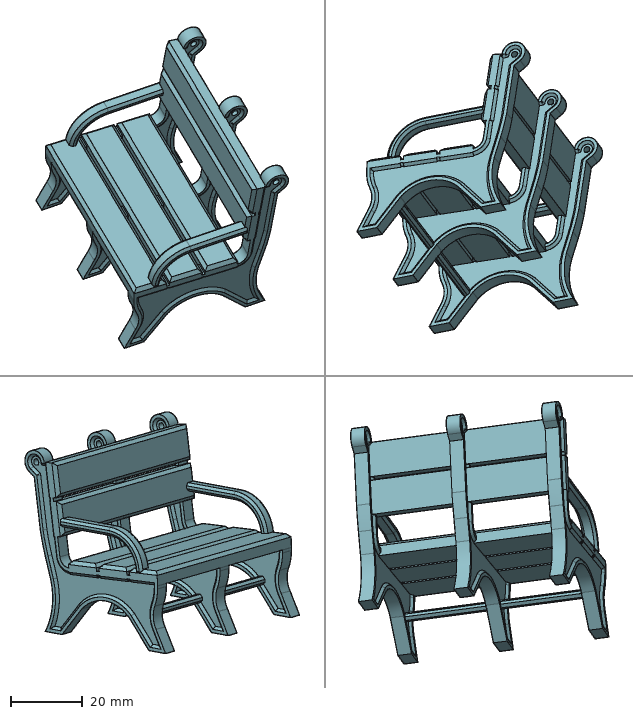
import cadquery as cq
import math

BENCH_LENGTH = 60.0

FRAME_THICKNESS = 4.0
RIM_WIDTH = 1.0
PANEL_DEPTH = 0.8
WALL_TAPER = 45.0
FRAME_SPACING = (BENCH_LENGTH - FRAME_THICKNESS) / 2

FOOT_LENGTH = 6.0
REAR_HEEL_Y = 17.9
FRONT_TOE_Y = -25.25
REAR_WAIST = (15.25, 10.2)
REAR_WAIST_END = (15.95, 15.3)
REAR_BEND_START = (17.9, 21.6)
REAR_BEND_END_Z = 28.9
FRONT_KNEE_START = (-21.35, 13.1)
FRONT_KNEE_END = (-21.85, 6.5)
FRONT_Y = -22.25
FRONT_STRAIGHT_END_Z = 18.2

ARCH_TOP_Z = 11.95
ARCH_RADIUS = 12.0
ARCH_HALF_ANGLE = 45.0

SEAT_TILT = 2.8
BACK_TILT = 8.3
SEAT_FRONT_Z = 21.05
BACK_TOP = (16.5, 48.7)
BACK_DEPTH = 6.0
CORNER_TANGENT = 2.9

SCROLL_CENTER = (21.7, 48.0)
SCROLL_RADIUS = 3.5
SCROLL_HOLE_DIAMETER = 1.8
NECK_Z = 43.85
SCROLL_START_ANGLE = 305.0
SCROLL_MIDDLE_ANGLE = 90.0
PLATE_NOTCH_ANGLE = 180.0
PLATE_TOP_SHIFT = -0.5
PANEL_NOTCH_ANGLE = 159.0
PANEL_TOP_SHIFT = 0.55

BOARD_WIDTH = 10.0
BOARD_THICKNESS = 4.0
BOARD_CHAMFER = 1.0
BOARD_END_CHAMFER = 0.8
SEAT_BOARDS = 3
BACK_BOARDS = 2
SEAT_GAP = 0.9
BACK_GAP = 1.0

BAR_HEIGHT = 2.4
BAR_CHAMFER = 0.8
ARM_TOP_Z = 33.2
ARM_REAR_Y = 13.2
ARM_BEND_Y = -4.8
ARM_BEND_RADIUS = 11.75
STRETCHER_CENTER = (-14.2, 9.0)


def along(point, direction, distance):
    return (point[0] + direction[0] * distance, point[1] + direction[1] * distance)


def on_circle(center, radius, angle):
    turn = math.radians(angle)
    return along(center, (math.cos(turn), math.sin(turn)), radius)


seat_turn = math.radians(SEAT_TILT)
back_turn = math.radians(BACK_TILT)
seat_rearward = (math.cos(seat_turn), -math.sin(seat_turn))
back_upward = (math.sin(back_turn), math.cos(back_turn))
back_rearward = (math.cos(back_turn), -math.sin(back_turn))
seat_upward = (-seat_rearward[1], seat_rearward[0])
seat_front = (FRONT_Y, SEAT_FRONT_Z)
seat_front_bottom = along(seat_front, seat_upward, -BOARD_THICKNESS / 2)


def seat_back_corner():
    """Point where the seat line and the backrest line cross."""
    gap_y = BACK_TOP[0] - seat_front[0]
    gap_z = BACK_TOP[1] - seat_front[1]
    cross = seat_rearward[0] * back_upward[1] - seat_rearward[1] * back_upward[0]
    distance = (gap_y * back_upward[1] - gap_z * back_upward[0]) / cross
    return along(seat_front, seat_rearward, distance)


def rear_line_point(z):
    """Point at height z on the rear edge, parallel to the backrest line."""
    base = along(BACK_TOP, back_rearward, BACK_DEPTH)
    return along(base, back_upward, (z - base[1]) / back_upward[1])


def frame_outline(plane, top_shift, notch_angle):
    """Side outline; its top front corner lies top_shift above the top board's edge."""
    corner = seat_back_corner()
    arch_y = (REAR_HEEL_Y + FRONT_TOE_Y) / 2
    arch_center = (arch_y, ARCH_TOP_Z - ARCH_RADIUS)
    return (
        plane.moveTo(REAR_HEEL_Y, 0)
        .threePointArc(REAR_WAIST, REAR_WAIST_END)
        .lineTo(*REAR_BEND_START)
        .tangentArcPoint(rear_line_point(REAR_BEND_END_Z), relative=False)
        .lineTo(*rear_line_point(NECK_Z))
        .lineTo(*on_circle(SCROLL_CENTER, SCROLL_RADIUS, SCROLL_START_ANGLE))
        .threePointArc(
            on_circle(SCROLL_CENTER, SCROLL_RADIUS, SCROLL_MIDDLE_ANGLE),
            on_circle(SCROLL_CENTER, SCROLL_RADIUS, notch_angle),
        )
        .lineTo(*along(BACK_TOP, back_upward, top_shift))
        .lineTo(*along(corner, back_upward, CORNER_TANGENT))
        .tangentArcPoint(along(corner, seat_rearward, -CORNER_TANGENT), relative=False)
        .lineTo(*seat_front)
        .lineTo(*seat_front_bottom)
        .lineTo(seat_front_bottom[0], FRONT_STRAIGHT_END_Z)
        .tangentArcPoint(FRONT_KNEE_START, relative=False)
        .tangentArcPoint(FRONT_KNEE_END, relative=False)
        .lineTo(FRONT_TOE_Y, 0)
        .lineTo(FRONT_TOE_Y + FOOT_LENGTH, 0)
        .lineTo(*on_circle(arch_center, ARCH_RADIUS, 90 + ARCH_HALF_ANGLE))
        .threePointArc(
            on_circle(arch_center, ARCH_RADIUS, 90),
            on_circle(arch_center, ARCH_RADIUS, 90 - ARCH_HALF_ANGLE),
        )
        .lineTo(REAR_HEEL_Y - FOOT_LENGTH, 0)
        .close()
    )


def side_frame():
    """One frame centred on X = 0."""
    half = FRAME_THICKNESS / 2
    face = cq.Workplane("YZ", origin=(-half, 0, 0))
    plate = frame_outline(face, PLATE_TOP_SHIFT, PLATE_NOTCH_ANGLE).extrude(FRAME_THICKNESS)
    panel = (
        frame_outline(face, PANEL_TOP_SHIFT, PANEL_NOTCH_ANGLE)
        .offset2D(-RIM_WIDTH, "intersection")
        .extrude(PANEL_DEPTH, taper=WALL_TAPER)
    )
    hole = (
        face.center(*SCROLL_CENTER)
        .circle(SCROLL_HOLE_DIAMETER / 2)
        .extrude(FRAME_THICKNESS)
    )
    return plate.cut(panel).cut(panel.mirror("YZ")).cut(hole)


def board(start, width_direction, normal):
    """Board with its mid-plane on start and its width running along width_direction."""
    center = along(start, width_direction, BOARD_WIDTH / 2)
    plane = cq.Plane(origin=(0, *center), xDir=(1, 0, 0), normal=(0, *normal))
    blank = cq.Workplane("XY").box(BENCH_LENGTH, BOARD_WIDTH, BOARD_THICKNESS)
    shaped = blank.faces(">Z").chamfer(BOARD_CHAMFER)
    shaped = shaped.faces("<Z").edges("|Y").chamfer(BOARD_END_CHAMFER)
    return cq.Workplane(shaped.val().moved(cq.Location(plane)))


def seat_boards():
    pitch = BOARD_WIDTH + SEAT_GAP
    return [
        board(along(seat_front, seat_rearward, index * pitch), seat_rearward, seat_upward)
        for index in range(SEAT_BOARDS)
    ]


def back_boards():
    pitch = BOARD_WIDTH + BACK_GAP
    downward = (-back_upward[0], -back_upward[1])
    normal = (-back_rearward[0], -back_rearward[1])
    return [
        board(along(BACK_TOP, downward, index * pitch), downward, normal)
        for index in range(BACK_BOARDS)
    ]


def armrest():
    """Armrest centred on X = 0: straight bar that bends down into the front seat board."""
    half = FRAME_THICKNESS / 2
    bend_center = (ARM_BEND_Y, ARM_TOP_Z - ARM_BEND_RADIUS)
    inner_radius = ARM_BEND_RADIUS - BAR_HEIGHT
    return (
        cq.Workplane("YZ", origin=(-half, 0, 0))
        .moveTo(ARM_REAR_Y, ARM_TOP_Z)
        .lineTo(ARM_BEND_Y, ARM_TOP_Z)
        .threePointArc(
            on_circle(bend_center, ARM_BEND_RADIUS, 135),
            on_circle(bend_center, ARM_BEND_RADIUS, 180),
        )
        .lineTo(*on_circle(bend_center, inner_radius, 180))
        .threePointArc(
            on_circle(bend_center, inner_radius, 135),
            on_circle(bend_center, inner_radius, 90),
        )
        .lineTo(ARM_REAR_Y, ARM_TOP_Z - BAR_HEIGHT)
        .close()
        .extrude(FRAME_THICKNESS)
        .faces("<X or >X")
        .chamfer(BAR_CHAMFER)
    )


def stretcher():
    return (
        cq.Workplane("XY")
        .box(2 * FRAME_SPACING, BAR_HEIGHT, BAR_HEIGHT)
        .edges("|X")
        .chamfer(BAR_CHAMFER)
        .translate((0, *STRETCHER_CENTER))
    )


result = stretcher()
frame = side_frame()
for frame_index in (-1, 0, 1):
    result = result.union(frame.translate((frame_index * FRAME_SPACING, 0, 0)))
for piece in seat_boards() + back_boards():
    result = result.union(piece)
arm = armrest()
for side in (-1, 1):
    result = result.union(arm.translate((side * FRAME_SPACING, 0, 0)))